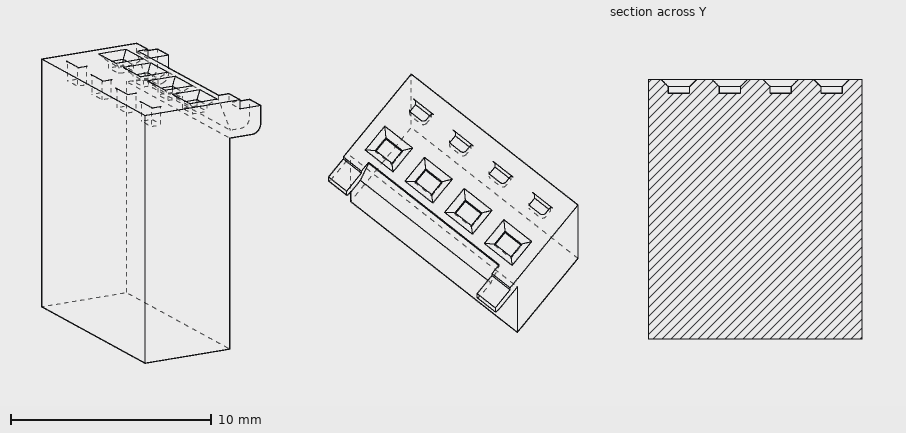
import cadquery as cq

width = 10.67
body_depth = 4.84
height = 12.97
top_z = height

ear_drop = 1.93
ear_depth = 5.42
lug_depth = 6.60
lug_drop = 0.48
lug_width = 1.16
lug_radius = 0.52

ramp_depth = 5.50
ramp_drop = 0.25

contact_count = 4
pitch = 2.54
first_contact_x = (width - (contact_count - 1) * pitch) / 2
contact_xs = [first_contact_x + i * pitch for i in range(contact_count)]

entry_y = 3.68
funnel_size_x = 1.78
funnel_size_y = 1.56
funnel_inset = 0.365
funnel_drop = funnel_inset
pin_hole_x = funnel_size_x - 2 * funnel_inset
pin_hole_y = funnel_size_y - 2 * funnel_inset
pin_hole_drop = 0.69

slot_front_y = 0.92
slot_width = 1.28
slot_depth_y = 0.73
slot_radius = 0.33
slot_rim = 0.13
slot_drop = 1.00


def make_body():
    return cq.Workplane("XY").box(width, body_depth, height, centered=False)


def make_lug(x_start):
    """Ear on the rear of the body with a stepped top and a rounded lower tip."""
    bottom_z = top_z - ear_drop
    lug_top_z = top_z - lug_drop
    return (
        cq.Workplane("YZ", origin=(x_start, 0, 0))
        .moveTo(0, bottom_z)
        .lineTo(lug_depth - lug_radius, bottom_z)
        .radiusArc((lug_depth, bottom_z + lug_radius), -lug_radius)
        .lineTo(lug_depth, lug_top_z)
        .lineTo(ear_depth, lug_top_z)
        .lineTo(ear_depth, top_z)
        .lineTo(0, top_z)
        .close()
        .extrude(lug_width)
    )


def make_ramp():
    """Triangular rib between the lugs, overhanging most at its lower edge."""
    bottom_z = top_z - ear_drop
    return (
        cq.Workplane("YZ", origin=(lug_width, 0, 0))
        .moveTo(0, bottom_z)
        .lineTo(ramp_depth, bottom_z)
        .lineTo(body_depth, top_z - ramp_drop)
        .lineTo(0, top_z - ramp_drop)
        .close()
        .extrude(width - 2 * lug_width)
    )


def make_pin_entry(x):
    funnel = (
        cq.Workplane("XY", origin=(x, entry_y, top_z))
        .rect(funnel_size_x, funnel_size_y)
        .workplane(offset=-funnel_drop)
        .rect(pin_hole_x, pin_hole_y)
        .loft(ruled=True)
    )
    hole = (
        cq.Workplane("XY", origin=(x, entry_y, top_z - pin_hole_drop))
        .rect(pin_hole_x, pin_hole_y)
        .extrude(pin_hole_drop)
    )
    return funnel.union(hole)


def slot_outline(x, drop, inset):
    """D-shaped outline, shrunk by the inset on all sides but the flat front."""
    half = slot_width / 2 - inset
    rear = slot_depth_y - inset
    radius = slot_radius - inset
    return (
        cq.Workplane("XY", origin=(x, slot_front_y, top_z - drop))
        .moveTo(-half, 0)
        .lineTo(half, 0)
        .lineTo(half, rear - radius)
        .radiusArc((half - radius, rear), -radius)
        .lineTo(radius - half, rear)
        .radiusArc((-half, rear - radius), -radius)
        .close()
    )


def make_slot(x):
    """D-shaped shaft whose mouth flares out with a quarter-round lip."""
    shaft = slot_outline(x, slot_drop, slot_rim).extrude(slot_drop)
    mouth = slot_outline(x, slot_rim, 0).extrude(slot_rim)
    lip_path_half = slot_width / 2
    lip_start = (
        cq.Workplane("XZ", origin=(x - lip_path_half, slot_front_y, top_z - slot_rim))
        .circle(slot_rim)
    )
    lip_path = (
        cq.Workplane("XY", origin=(x, slot_front_y, top_z - slot_rim))
        .moveTo(-lip_path_half, 0)
        .lineTo(-lip_path_half, slot_depth_y - slot_radius)
        .radiusArc((slot_radius - lip_path_half, slot_depth_y), slot_radius)
        .lineTo(lip_path_half - slot_radius, slot_depth_y)
        .radiusArc((lip_path_half, slot_depth_y - slot_radius), slot_radius)
        .lineTo(lip_path_half, 0)
    )
    return shaft.union(mouth.cut(lip_start.sweep(lip_path)))


housing = make_body().union(make_ramp())
for lug_x in (0, width - lug_width):
    housing = housing.union(make_lug(lug_x))
for contact_x in contact_xs:
    housing = housing.cut(make_pin_entry(contact_x)).cut(make_slot(contact_x))

result = housing